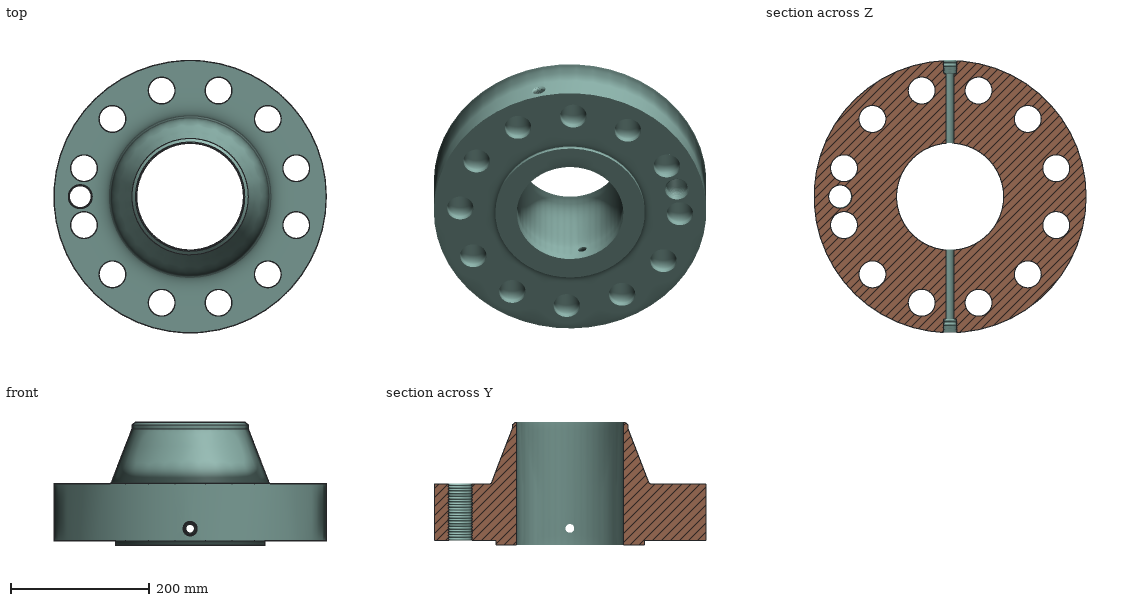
import cadquery as cq
import math

flange_diameter = 393.7
raised_face_diameter = 215.7
raised_face_height = 6.3
flange_thickness = 82.5
total_height = 178.0
flange_top = raised_face_height + flange_thickness

bore_diameter = 154.0
hub_base_diameter = 229.0
neck_diameter = 168.0
neck_length = 10.0
hub_fillet = 3.0
weld_land = 2.0
weld_bevel_angle = 37.5

bolt_count = 12
bolt_hole_diameter = 38.0
bolt_circle_diameter = 317.5

jack_minor_diameter = 31.5
jack_major_diameter = 34.5
jack_pitch = 4.0

tap_height = 24.0
tap_bore_diameter = 12.5
tap_minor_diameter = 18.0
tap_major_diameter = 21.0
tap_thread_depth = 19.5
tap_pitch = 2.0
tap_taper = 1 / 16


def make_body():
    """Revolve the flange, hub and neck around the bore axis."""
    bore_radius = bore_diameter / 2
    neck_radius = neck_diameter / 2
    land_radius = bore_radius + weld_land
    bevel_height = (neck_radius - land_radius) * math.tan(math.radians(weld_bevel_angle))
    body = (
        cq.Workplane("XZ")
        .moveTo(bore_radius, 0)
        .lineTo(raised_face_diameter / 2, 0)
        .lineTo(raised_face_diameter / 2, raised_face_height)
        .lineTo(flange_diameter / 2, raised_face_height)
        .lineTo(flange_diameter / 2, flange_top)
        .lineTo(hub_base_diameter / 2, flange_top)
        .lineTo(neck_radius, total_height - neck_length)
        .lineTo(neck_radius, total_height - bevel_height)
        .lineTo(land_radius, total_height)
        .lineTo(bore_radius, total_height)
        .close()
        .revolve(360, (0, 0, 0), (0, 1, 0))
    )
    hub_base_edge = body.faces("%CONE").faces("<Z").edges("<Z")
    return hub_base_edge.fillet(hub_fillet)


def make_thread_cutter(minor_diameter, major_diameter, pitch, depth, diameter_taper=0):
    """Threaded hole, as V grooves stacked down -Z from an opening at z = 0."""
    radius_loss = pitch * diameter_taper / 2
    minor_radius = minor_diameter / 2
    major_radius = major_diameter / 2
    groove_count = round(depth / pitch)
    profile = cq.Workplane("XZ").moveTo(0, 0).lineTo(major_radius, 0)
    for groove in range(groove_count):
        groove_top = -groove * pitch
        minor_radius -= radius_loss
        major_radius -= radius_loss
        profile = profile.lineTo(minor_radius, groove_top - pitch / 2)
        profile = profile.lineTo(major_radius, groove_top - pitch)
    return (
        profile.lineTo(0, -groove_count * pitch)
        .close()
        .revolve(360, (0, 0, 0), (0, 1, 0))
    )


def make_bolt_holes():
    """Through holes on the bolt circle, straddling the axes."""
    return (
        cq.Workplane("XY")
        .polarArray(bolt_circle_diameter / 2, 180 / bolt_count, 360, bolt_count)
        .circle(bolt_hole_diameter / 2)
        .extrude(flange_top)
    )


def make_jackscrew_hole():
    """Hole threaded through the whole flange thickness."""
    thread = make_thread_cutter(
        jack_minor_diameter, jack_major_diameter, jack_pitch, flange_thickness
    )
    return thread.translate((-bolt_circle_diameter / 2, 0, flange_top))


def make_pressure_taps():
    """Straight bore across the flange with a taper-threaded mouth at each end."""
    flange_radius = flange_diameter / 2
    taps = (
        cq.Workplane("XZ", origin=(0, 0, tap_height))
        .circle(tap_bore_diameter / 2)
        .extrude(flange_radius, both=True)
    )
    thread = make_thread_cutter(
        tap_minor_diameter, tap_major_diameter, tap_pitch, tap_thread_depth, tap_taper
    )
    for turn in (90, -90):
        mouth = thread.translate((0, 0, flange_radius)).rotate((0, 0, 0), (1, 0, 0), turn)
        taps = taps.union(mouth.translate((0, 0, tap_height)))
    return taps


result = (
    make_body()
    .cut(make_bolt_holes())
    .cut(make_jackscrew_hole())
    .cut(make_pressure_taps())
)